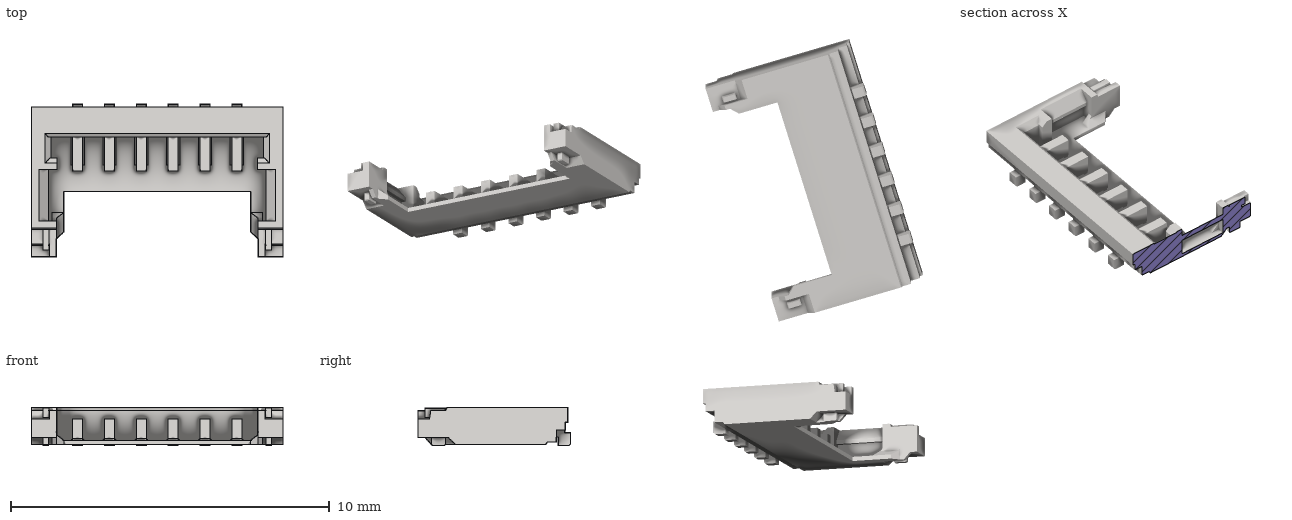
import cadquery as cq


width = 7.9
half_width = width / 2
shell_depth = 4.71
top_z = 1.17
floor_z = 0.134
floor_front_y = 2.045

arm_inset = 0.785
floor_inset = 1.02
arm_underside_z = 0.218
arm_step_y = 0.907
arm_step_run = 0.05
arm_top_z = 1.066
arm_bar_back_y = 1.13

cavity_back_y = 3.757
cavity_front_y = 3.105
cavity_inset = 0.618
back_bevel_run = 0.113
back_bevel_height = 0.1
side_bevel_run = 0.188
side_bevel_height = 0.2
rib_bevel = 0.165

rib_front_y = 2.737
rib_inset = 0.81

pocket_inset = 0.39
pocket_lip_inset = 0.537
pocket_lip_height = 0.127
pocket_bevel_run = 0.295
pocket_bevel_height = 0.37

contact_count = 6
contact_pitch = 1.0
contact_width = 0.315
contact_top_z = 0.807
contact_front_y = 2.69
contact_toe_recess = 0.03
contact_toe_z = 0.19
base_bevel = 0.0525
base_bevel_front_y = 2.878
solder_z = -0.03
tail_back_y = 4.79
tail_chamfer = 0.05
tail_top_z = 0.375
tail_front_y = 4.4
tail_neck_z = 0.235
tail_neck_y = 4.61

rear_step_y = 4.63
rear_step_z = 0.70
tail_ceiling_z = 0.455
tail_wall_y = 4.345
heel_z = 0.083
heel_y = 4.06
heel_chamfer_run = 0.05

notch_inset = 0.567
notch_z = 0.80
notch_top_y = 0.403
notch_bottom_y = 0.36
tab_outer_inset = 0.36
tab_width = 0.19
tab_foot_outer_inset = 0.37
tab_foot_width = 0.165
tab_top_z = 1.15
tab_tip_z = 0.853
tab_front_y = 0.215
tab_foot_front_y = 0.426
tab_foot_back_y = 0.86
tab_foot_chamfer = 0.03

keel_inset = 0.64
keel_front_y = 0.225
keel_chamfer_run = 0.201
keel_back_y = 1.18
keel_slope_front_y = 0.955
foot_back_y = 1.394
foot_ramp_height = 0.18
foot_front_inner_y = 0.785
foot_front_arm_y = 0.563


def box(x_range, y_range, z_range):
    """Axis-aligned box from pairs of limits."""
    size = [high - low for low, high in (x_range, y_range, z_range)]
    return (
        cq.Workplane("XY")
        .box(*size, centered=False)
        .translate((x_range[0], y_range[0], z_range[0]))
    )


def centred_box(inset, y_range, z_range):
    """Box centred on X = 0 that stops at an inset from each side face."""
    half = half_width - inset
    return box((-half, half), y_range, z_range)


def left_box(inset_range, y_range, z_range):
    """Box on the left arm, placed by insets from the left side face."""
    x_range = [inset - half_width for inset in inset_range]
    return box(x_range, y_range, z_range)


def side_prism(points, x_range):
    """Extrude a closed (Y, Z) outline between two X limits."""
    length = x_range[1] - x_range[0]
    return cq.Workplane("YZ", origin=(x_range[0], 0, 0)).polyline(points).close().extrude(length)


def front_prism(points, y_range):
    """Extrude a closed (X, Z) outline between two Y limits."""
    length = y_range[1] - y_range[0]
    return cq.Workplane("XZ", origin=(0, y_range[1], 0)).polyline(points).close().extrude(length)


def both_sides(left):
    """A left-hand shape together with its mirror image."""
    return left.union(left.mirror("YZ"))


def shell_blank():
    outline = [
        (0, arm_underside_z),
        (0, arm_top_z),
        (arm_step_y - arm_step_run, arm_top_z),
        (arm_step_y, top_z),
        (shell_depth, top_z),
        (shell_depth, rear_step_z),
        (rear_step_y, rear_step_z),
        (rear_step_y, tail_ceiling_z),
        (tail_wall_y, tail_ceiling_z),
        (tail_wall_y, heel_z),
        (heel_y, heel_z),
        (heel_y - heel_chamfer_run, 0),
        (keel_back_y, 0),
        (keel_slope_front_y, arm_underside_z),
    ]
    return side_prism(outline, (-half_width, half_width))


def cavity():
    """Contact cavity with beveled back, side and rib edges."""
    half = half_width - cavity_inset
    void = centred_box(cavity_inset, (cavity_front_y, cavity_back_y), (floor_z, top_z))
    lengthwise = [
        (cavity_back_y, top_z - back_bevel_height),
        (cavity_back_y + back_bevel_run, top_z),
        (cavity_front_y - rib_bevel, top_z),
        (cavity_front_y, top_z - rib_bevel),
        (cavity_front_y, top_z - side_bevel_height),
        (cavity_back_y, top_z - side_bevel_height),
    ]
    crosswise = [
        (-half, top_z - side_bevel_height),
        (half, top_z - side_bevel_height),
        (half + side_bevel_run, top_z),
        (-half - side_bevel_run, top_z),
    ]
    mouth = side_prism(lengthwise, (-half_width, half_width)).intersect(
        front_prism(crosswise, (0, shell_depth))
    )
    return void.union(mouth)


def pockets():
    """Space between the arms, with an undercut pocket and beveled lip in front of each rib."""
    half = half_width - pocket_inset
    lip_half = half_width - pocket_lip_inset
    lip_top_z = top_z - pocket_bevel_height
    lip_bottom_z = lip_top_z - pocket_lip_height
    outline = [
        (-half, floor_z),
        (half, floor_z),
        (half, lip_bottom_z),
        (lip_half, lip_bottom_z),
        (lip_half, lip_top_z),
        (lip_half + pocket_bevel_run, top_z),
        (-lip_half - pocket_bevel_run, top_z),
        (-lip_half, lip_top_z),
        (-lip_half, lip_bottom_z),
        (-half, lip_bottom_z),
    ]
    void = front_prism(outline, (arm_bar_back_y, rib_front_y))
    void = void.union(centred_box(rib_inset, (rib_front_y, cavity_front_y), (floor_z, top_z)))
    return void.union(centred_box(arm_inset, (0, arm_bar_back_y), (0, top_z)))


def left_notch():
    """Recess in the front end of the left arm."""
    outline = [
        (0, notch_z),
        (notch_bottom_y, notch_z),
        (notch_top_y, arm_top_z),
        (0, arm_top_z),
    ]
    return side_prism(outline, (-half_width, notch_inset - half_width))


def left_tab():
    """Retention tab: hooked strip over the arm and a solder foot below it."""
    insets = (tab_outer_inset, tab_outer_inset + tab_width)
    foot_insets = (tab_foot_outer_inset, tab_foot_outer_inset + tab_foot_width)
    strip = left_box(insets, (tab_front_y, arm_step_y - arm_step_run), (arm_top_z, tab_top_z))
    hook = left_box(insets, (tab_front_y, notch_top_y), (tab_tip_z, tab_top_z))
    foot = left_box(
        foot_insets, (tab_foot_front_y, tab_foot_back_y), (solder_z, arm_underside_z)
    )
    foot = foot.faces("<Z").edges("|X").chamfer(tab_foot_chamfer)
    return strip.union(hook).union(foot)


def left_keel():
    outline = [
        (keel_front_y, arm_underside_z),
        (keel_front_y + keel_chamfer_run, 0),
        (keel_back_y, 0),
        (keel_back_y, arm_underside_z),
    ]
    return side_prism(outline, (keel_inset - half_width, arm_inset - half_width))


def left_foot():
    """Foot along the arm, ramped up from the floor toward the arm and the arm bar."""
    outer_x = keel_inset - half_width
    arm_x = arm_inset - half_width
    inner_x = floor_inset - half_width
    bar_ramp_z = floor_z + foot_back_y - arm_bar_back_y
    plan = [
        (outer_x, foot_back_y),
        (inner_x, foot_back_y),
        (inner_x, foot_front_inner_y),
        (arm_x, foot_front_arm_y),
        (outer_x, foot_front_arm_y),
    ]
    across = [
        (outer_x, 0),
        (inner_x, 0),
        (inner_x, floor_z),
        (arm_x, floor_z + foot_ramp_height),
        (arm_x, bar_ramp_z),
        (outer_x, bar_ramp_z),
    ]
    along = [
        (0, 0),
        (foot_back_y, 0),
        (foot_back_y, floor_z),
        (arm_bar_back_y, bar_ramp_z),
        (0, bar_ramp_z),
    ]
    foot = cq.Workplane("XY").polyline(plan).close().extrude(bar_ramp_z)
    foot = foot.intersect(front_prism(across, (0, foot_back_y)))
    return foot.intersect(side_prism(along, (outer_x, inner_x)))


def contact_base(x):
    """Beveled bead where a contact rises from the floor."""
    top_half = contact_width / 2
    foot_half = top_half + base_bevel
    outline = [
        (x - foot_half, floor_z),
        (x + foot_half, floor_z),
        (x + top_half, floor_z + base_bevel),
        (x - top_half, floor_z + base_bevel),
    ]
    return front_prism(outline, (base_bevel_front_y, cavity_back_y))


def contact(x):
    """Upright blade in the cavity and stepped solder tail behind the shell."""
    limits = (x - contact_width / 2, x + contact_width / 2)
    blade = [
        (cavity_back_y, floor_z),
        (cavity_back_y, contact_top_z),
        (contact_front_y, contact_top_z),
        (contact_front_y, contact_toe_z),
        (contact_front_y + contact_toe_recess, contact_toe_z),
        (contact_front_y + contact_toe_recess, floor_z),
    ]
    tail = [
        (tail_wall_y, tail_ceiling_z),
        (tail_neck_y, tail_ceiling_z),
        (tail_neck_y, tail_top_z),
        (tail_back_y, tail_top_z),
        (tail_back_y, solder_z + tail_chamfer),
        (tail_back_y - tail_chamfer, solder_z),
        (tail_front_y, solder_z),
        (tail_front_y, tail_neck_z),
        (tail_wall_y, tail_neck_z),
    ]
    return side_prism(blade, limits).union(side_prism(tail, limits))


shell = shell_blank().cut(cavity()).cut(pockets())
shell = shell.cut(centred_box(floor_inset, (0, floor_front_y), (0, floor_z)))
shell = shell.cut(both_sides(left_notch()))
for left_detail in (left_keel(), left_foot(), left_tab()):
    shell = shell.union(both_sides(left_detail))

for index in range(contact_count):
    contact_x = (index - (contact_count - 1) / 2) * contact_pitch
    shell = shell.union(contact(contact_x)).union(contact_base(contact_x))

result = shell